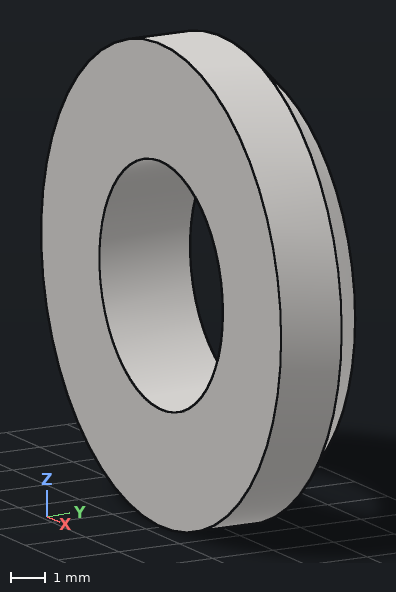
import cadquery as cq

outer_diameter = 14.4
hole_diameter = 7.4
thickness = 3.0
chamfer_size = 1.0


def make_washer():
    ring = (
        cq.Workplane("XZ")
        .circle(outer_diameter / 2)
        .circle(hole_diameter / 2)
        .extrude(-thickness)
    )
    outer_rim = cq.selectors.RadiusNthSelector(-1)
    return ring.faces(">Y").edges(outer_rim).chamfer(chamfer_size)


result = make_washer()